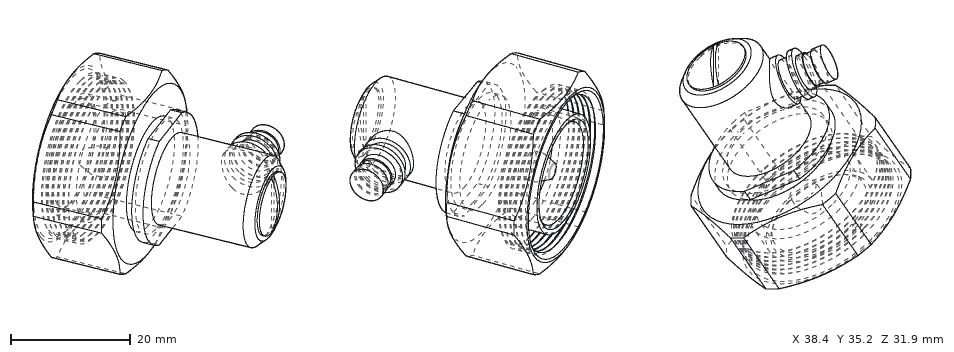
import cadquery as cq
import math


nut_length = 14.95
across_flats = 31.86
corner_radius = 17.615
front_face_radius = 15.2
front_chamfer_length = 1.24
rear_face_radius = 15.6
rear_chamfer_length = 1.2

bore_mouth_radius = 14.65
bore_radius = 13.73
bore_lead_in = 1.0
thread_pitch = 1.0
thread_depth = 0.6
thread_crest = 0.1
thread_grooves = 5
bore_depth = bore_lead_in + thread_grooves * thread_pitch

sleeve_tip = 0.4
sleeve_radius = 10.5
sleeve_bore_radius = 9.0
sleeve_chamfer = 0.6
sleeve_floor = 6.7

pin_tip = 2.4
pin_tip_radius = 1.4
pin_radius = 2.5
pin_cone_end = 4.9
pin_tip_fillet = 0.2
pin_shoulder_fillet = 0.5

neck_radius = 10.0
neck_end = 16.58
flange_radius = 11.5
flange_end = 18.65
flange_across_flats = 21.0
body_radius = 8.0
body_end = 36.95
body_chamfer = 1.5

cap_radius = 5.55
cap_rim_end = 37.35
cap_end = 38.42
slot_width = 0.9

outlet_x = 28.9
outlet_steps = [
    (4.43, 9.2),
    (3.55, 11.25),
    (4.43, 12.25),
    (3.12, 13.55),
    (2.85, 15.15),
    (3.12, 17.0),
]


def disc(radius, start, end):
    """Cylinder on the X axis between two x positions."""
    return cq.Workplane("YZ").workplane(offset=start).circle(radius).extrude(end - start)


def revolve_about_x(points):
    """Solid of revolution about X from a closed (x, radius) outline."""
    return cq.Workplane("XY").polyline(points).close().revolve(360, (0, 0, 0), (1, 0, 0))


def make_nut():
    """Hexagon nut with turned corners, an internal thread and an opening for the sleeve."""
    across_corners = across_flats / math.cos(math.pi / 6)
    hexagon = cq.Workplane("YZ").polygon(6, across_corners).extrude(nut_length)
    turned_blank = revolve_about_x([
        (0, 0),
        (0, front_face_radius),
        (front_chamfer_length, corner_radius),
        (nut_length - rear_chamfer_length, corner_radius),
        (nut_length, rear_face_radius),
        (nut_length, 0),
    ])
    nut = hexagon.intersect(turned_blank)
    bore = revolve_about_x([
        (0, 0),
        (0, bore_mouth_radius),
        (bore_lead_in, bore_radius),
        (bore_depth, bore_radius),
        (bore_depth, sleeve_radius),
        (sleeve_floor, sleeve_radius),
        (sleeve_floor, 0),
    ])
    nut = nut.cut(bore)
    for index in range(thread_grooves):
        start = bore_lead_in + index * thread_pitch
        nut = nut.cut(make_thread_groove(start))
    return nut


def make_thread_groove(start):
    """Cutter for one V groove, leaving a narrow crest before the next one."""
    groove_width = thread_pitch - thread_crest
    return revolve_about_x([
        (start, 0),
        (start, bore_radius),
        (start + groove_width / 2, bore_radius + thread_depth),
        (start + groove_width, bore_radius),
        (start + groove_width, 0),
    ])


def make_sleeve():
    return revolve_about_x([
        (sleeve_tip, sleeve_bore_radius + sleeve_chamfer),
        (sleeve_tip, sleeve_radius),
        (nut_length, sleeve_radius),
        (nut_length, 0),
        (sleeve_floor, 0),
        (sleeve_floor, sleeve_bore_radius),
        (sleeve_tip + sleeve_chamfer, sleeve_bore_radius),
    ])


def make_pin():
    pin = revolve_about_x([
        (pin_tip, 0),
        (pin_tip, pin_tip_radius),
        (pin_cone_end, pin_radius),
        (sleeve_floor, pin_radius),
        (sleeve_floor, 0),
    ])
    pin = pin.faces("<X").edges().fillet(pin_tip_fillet)
    shoulder = cq.selectors.NearestToPointSelector((pin_cone_end, 0, 0))
    return pin.edges("%CIRCLE").edges(shoulder).fillet(pin_shoulder_fillet)


def make_flange():
    flange = disc(flange_radius, neck_end, flange_end)
    flats = cq.Workplane("XY").box(2 * flange_end, 2 * flange_radius, flange_across_flats)
    return flange.intersect(flats)


def make_body():
    barrel = disc(body_radius, nut_length, body_end).faces(">X").chamfer(body_chamfer)
    return disc(neck_radius, nut_length, neck_end).union(make_flange()).union(barrel)


def make_cap():
    dome_height = cap_end - cap_rim_end
    dome_radius = (cap_radius**2 + dome_height**2) / (2 * dome_height)
    half_angle = math.asin(cap_radius / dome_radius) / 2
    dome_centre = cap_end - dome_radius
    arc_middle = (
        dome_centre + dome_radius * math.cos(half_angle),
        dome_radius * math.sin(half_angle),
    )
    cap = (
        cq.Workplane("XY")
        .moveTo(body_end, 0)
        .lineTo(body_end, cap_radius)
        .lineTo(cap_rim_end, cap_radius)
        .threePointArc(arc_middle, (cap_end, 0))
        .close()
        .revolve(360, (0, 0, 0), (1, 0, 0))
    )
    slot = (
        cq.Workplane("YZ")
        .workplane(offset=cap_rim_end)
        .rect(slot_width, 2 * cap_radius)
        .extrude(dome_height)
    )
    return cap.cut(slot)


def make_outlet():
    outline = cq.Workplane("XY").moveTo(outlet_x, 0)
    start = 0
    for radius, end in outlet_steps:
        outline = outline.lineTo(outlet_x + radius, start).lineTo(outlet_x + radius, end)
        start = end
    return (
        outline.lineTo(outlet_x, start)
        .close()
        .revolve(360, (outlet_x, 0, 0), (outlet_x, 1, 0))
    )


result = (
    make_nut()
    .union(make_sleeve())
    .union(make_pin())
    .union(make_body())
    .union(make_cap())
    .union(make_outlet())
)